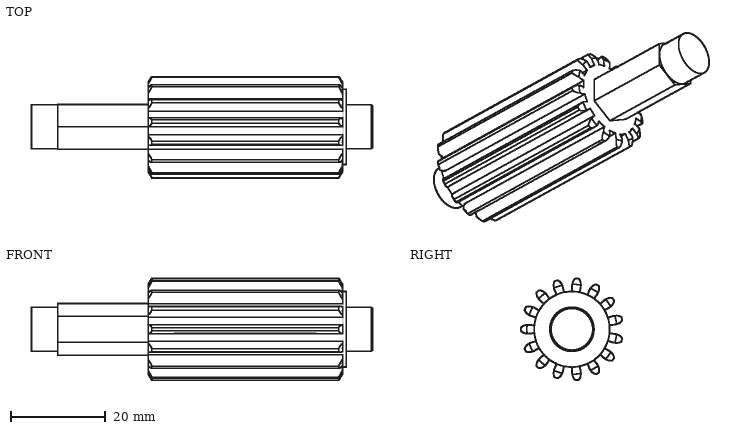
import cadquery as cq
import math

total_length = 71.9
hex_start = 5.5
gear_start = 24.6
gear_end = 65.55
collar_end = 66.35
shaft_start = -total_length / 2

journal_radius = 4.7
end_chamfer = 0.3
hex_across_flats = 9.5
hex_corner_diameter = hex_across_flats / math.cos(math.pi / 6)

tooth_count = 15
tip_radius = 10.8
root_radius = 8.0
shoulder_radius = 9.5
bulge_radius = 10.3
tip_half_width = 0.35
bulge_half_width = 0.7
shoulder_half_width = 0.9
base_half_width = 0.8
tooth_embed = 0.7
tooth_chamfer_length = 0.8
first_tooth_angle = 180.0


def plane_at(x):
    """YZ plane facing +X, at distance x from the hex-side end of the part."""
    return cq.Workplane("YZ", origin=(shaft_start + x, 0, 0))


def cylinder(start, end, radius):
    return plane_at(start).circle(radius).extrude(end - start)


def tooth(angle):
    """One straight tooth: slightly undercut at its base, with smooth flanks curving in to the tip."""
    tip_edge = math.sqrt(tip_radius**2 - tip_half_width**2)
    base = root_radius - tooth_embed
    upper_flank = [
        (root_radius, base_half_width),
        (shoulder_radius, shoulder_half_width),
        (bulge_radius, bulge_half_width),
        (tip_edge, tip_half_width),
    ]
    lower_flank = [(radius, -half_width) for radius, half_width in upper_flank]
    return (
        plane_at(gear_start)
        .moveTo(base, -base_half_width)
        .lineTo(root_radius, -base_half_width)
        .spline(lower_flank[1:], includeCurrent=True)
        .threePointArc((tip_radius, 0), (tip_edge, tip_half_width))
        .spline(upper_flank[-2::-1], includeCurrent=True)
        .lineTo(base, base_half_width)
        .close()
        .extrude(gear_end - gear_start)
        .rotate((0, 0, 0), (1, 0, 0), angle)
    )


def bevel_envelope():
    """Turned blank of the pinion, bevelled at both ends."""
    left = shaft_start + gear_start
    right = shaft_start + gear_end
    return (
        cq.Workplane("XY")
        .moveTo(left, 0)
        .lineTo(left, shoulder_radius)
        .lineTo(left + tooth_chamfer_length, tip_radius)
        .lineTo(right - tooth_chamfer_length, tip_radius)
        .lineTo(right, shoulder_radius)
        .lineTo(right, 0)
        .close()
        .revolve(360, (0, 0, 0), (1, 0, 0))
    )


def pinion():
    """Toothed body with the tooth ends bevelled by the turned blank."""
    body = cylinder(gear_start, gear_end, root_radius)
    for index in range(tooth_count):
        body = body.union(tooth(first_tooth_angle + index * 360 / tooth_count))
    return body.intersect(bevel_envelope())


def hex_drive():
    """Hexagon with two flats facing +Y and -Y and corners at +Z and -Z."""
    return (
        plane_at(hex_start)
        .polygon(6, hex_corner_diameter)
        .extrude(gear_start - hex_start)
        .rotate((0, 0, 0), (1, 0, 0), 90)
    )


hex_journal = cylinder(0, hex_start, journal_radius)
collar = cylinder(gear_end, collar_end, root_radius)
gear_journal = cylinder(collar_end, total_length, journal_radius).faces(">X").chamfer(end_chamfer)

result = hex_journal.union(hex_drive()).union(pinion()).union(collar).union(gear_journal)